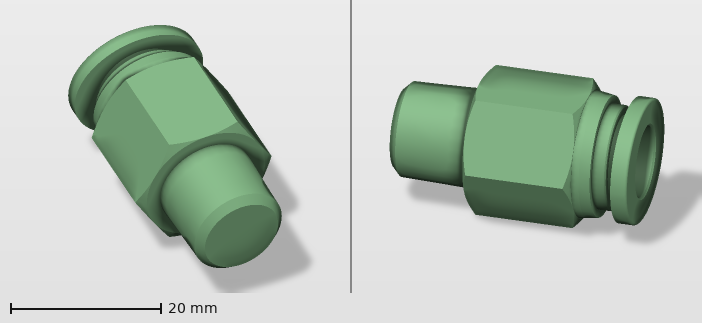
import cadquery as cq
import math

flange_thickness = 2.25
ring_start = 3.55
collar_start = 5.42
collar_taper_end = 6.88
hex_start = 7.9
hex_end = 22.9
total_length = 33.9

flange_width = 19.0
flange_height = 16.58
flange_rounding = 0.3
neck_diameter = 11.9
neck_flare_length = 0.27
neck_flare_height = 0.15
ring_diameter = 14.3
ring_chamfer = 0.2
bore_diameter = 9.75
bore_chamfer = 0.27

collar_tip_diameter = 16.5
collar_taper_end_diameter = 17.0
collar_diameter = 17.2
hex_across_flats = 17.45
hex_chamfer_angle = 30.0
stem_base_diameter = 13.5
stem_tip_diameter = 12.9
stem_chamfer = 1.05
bore_floor = 16.95

hex_across_corners = hex_across_flats / math.cos(math.radians(30))
hex_chamfer_length = (
    (hex_across_corners - hex_across_flats) / 2 * math.tan(math.radians(hex_chamfer_angle))
)


def cylinder_x(diameter, start, end):
    """Solid cylinder on the X axis between two positions."""
    return cq.Workplane("YZ", origin=(start, 0, 0)).circle(diameter / 2).extrude(end - start)


def revolve_x(profile):
    """Revolve (x, radius) points, closed along the axis, about the X axis."""
    return cq.Workplane("XY").polyline(profile).close().revolve(360, (0, 0, 0), (1, 0, 0))


def make_sleeve():
    """Release sleeve: elliptical push flange, round neck, shoulder ring and through bore."""
    flange = (
        cq.Workplane("YZ")
        .ellipse(flange_width / 2, flange_height / 2)
        .extrude(flange_thickness)
        .faces("<X").edges().fillet(flange_rounding)
    )
    neck_radius = neck_diameter / 2
    ring_radius = ring_diameter / 2
    neck_and_ring = revolve_x([
        (flange_thickness, 0),
        (flange_thickness, neck_radius + neck_flare_height),
        (flange_thickness + neck_flare_length, neck_radius),
        (ring_start, neck_radius),
        (ring_start, ring_radius - ring_chamfer),
        (ring_start + ring_chamfer, ring_radius),
        (collar_start, ring_radius),
        (collar_start, 0),
    ])
    bore = cylinder_x(bore_diameter, 0, collar_start)
    bore_mouth = revolve_x([
        (0, 0),
        (0, bore_diameter / 2 + bore_chamfer),
        (bore_chamfer, bore_diameter / 2),
        (bore_chamfer, 0),
    ])
    return flange.union(neck_and_ring).cut(bore).cut(bore_mouth)


def make_hexagon():
    """Hexagon with flats on top and bottom and conically chamfered ends."""
    prism = (
        cq.Workplane("YZ", origin=(hex_start, 0, 0))
        .polygon(6, hex_across_corners)
        .extrude(hex_end - hex_start)
    )
    end_radius = hex_across_flats / 2
    corner_radius = hex_across_corners / 2
    chamfer_envelope = revolve_x([
        (hex_start, 0),
        (hex_start, end_radius),
        (hex_start + hex_chamfer_length, corner_radius),
        (hex_end - hex_chamfer_length, corner_radius),
        (hex_end, end_radius),
        (hex_end, 0),
    ])
    return prism.intersect(chamfer_envelope)


def make_housing():
    """Housing: tapered collar, hexagon and tapered stem, with a blind bore continuing the sleeve bore."""
    collar = revolve_x([
        (collar_start, 0),
        (collar_start, collar_tip_diameter / 2),
        (collar_taper_end, collar_taper_end_diameter / 2),
        (hex_start, collar_diameter / 2),
        (hex_start, 0),
    ])
    stem_tip_radius = stem_tip_diameter / 2
    stem = revolve_x([
        (hex_end, 0),
        (hex_end, stem_base_diameter / 2),
        (total_length - stem_chamfer, stem_tip_radius),
        (total_length, stem_tip_radius - stem_chamfer),
        (total_length, 0),
    ])
    tube_bore = cylinder_x(bore_diameter, collar_start, bore_floor)
    return collar.union(make_hexagon()).union(stem).cut(tube_bore)


sleeve = make_sleeve()
housing = make_housing()

result = cq.Compound.makeCompound([sleeve.val(), housing.val()])